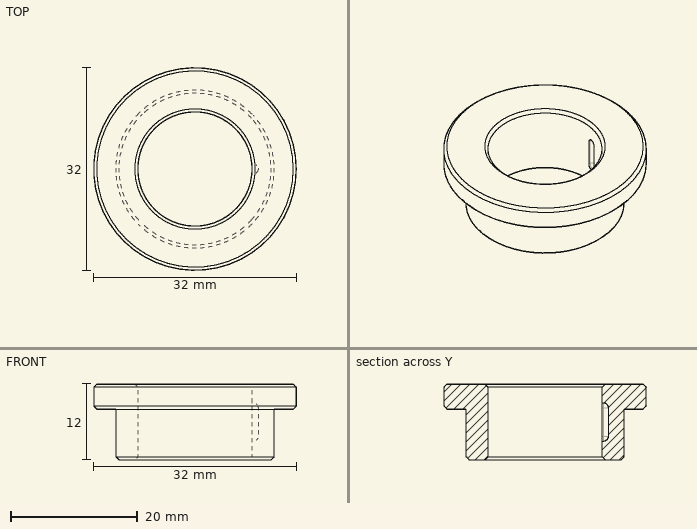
import cadquery as cq

flange_diameter = 32.0
sleeve_diameter = 25.0
bore_diameter = 18.0
total_height = 12.0
flange_thickness = 4.0
edge_chamfer = 0.5

groove_width = 1.5
groove_length = 6.0
groove_depth = 1.0
groove_mid_height = total_height / 2


def chamfered_disc(diameter, bottom, height):
    """Disc along Z with both rims chamfered."""
    disc = cq.Workplane("XY").workplane(offset=bottom).circle(diameter / 2).extrude(height)
    return disc.edges("%CIRCLE").chamfer(edge_chamfer)


def sleeve():
    """Sleeve running up inside the flange, chamfered at its lower rim."""
    tube = cq.Workplane("XY").circle(sleeve_diameter / 2).extrude(total_height)
    return tube.faces("<Z").edges().chamfer(edge_chamfer)


def bore_cutter():
    """Through bore widened by a countersink at each end."""
    mouth_radius = bore_diameter / 2 + edge_chamfer
    half_profile = [
        (0, 0),
        (mouth_radius, 0),
        (bore_diameter / 2, edge_chamfer),
        (bore_diameter / 2, total_height - edge_chamfer),
        (mouth_radius, total_height),
        (0, total_height),
    ]
    return cq.Workplane("XZ").polyline(half_profile).close().revolve(360, (0, 0), (0, 1))


def groove_cutter():
    """Upright slot from inside the bore, with a ball-nosed bottom and ends."""
    nose_radius = groove_width / 2
    nose_axis_x = bore_diameter / 2 + groove_depth - nose_radius
    straight_length = groove_length - groove_width
    lower_end = groove_mid_height - straight_length / 2
    upper_end = groove_mid_height + straight_length / 2

    cutter = (
        cq.Workplane("YZ")
        .center(0, groove_mid_height)
        .slot2D(groove_length, groove_width, 90)
        .extrude(nose_axis_x)
    )
    nose = (
        cq.Workplane("XY")
        .workplane(offset=lower_end)
        .center(nose_axis_x, 0)
        .circle(nose_radius)
        .extrude(straight_length)
    )
    cutter = cutter.union(nose)
    for end_height in (lower_end, upper_end):
        ball = cq.Workplane("XY").sphere(nose_radius).translate((nose_axis_x, 0, end_height))
        cutter = cutter.union(ball)
    return cutter


flange = chamfered_disc(flange_diameter, total_height - flange_thickness, flange_thickness)
result = sleeve().union(flange).cut(bore_cutter()).cut(groove_cutter())